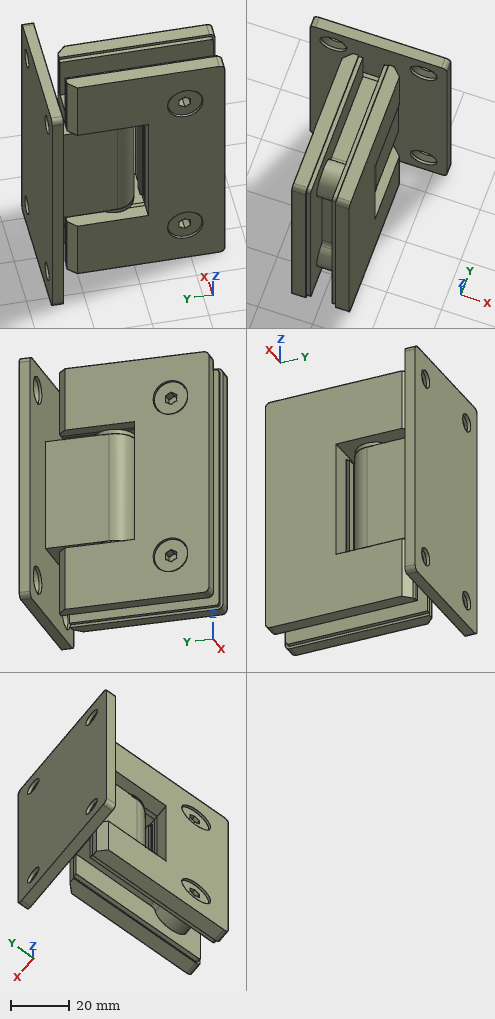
import cadquery as cq
import math


plate_width = 50.0
plate_height = 90.0
plate_thickness = 4.0
corner_radius = 2.0
mount_hole_spacing_x = 33.0
mount_hole_spacing_z = 71.0
mount_hole_diameter = 6.5
countersink_diameter = 9.7
countersink_depth = 1.7
countersink_lip = 1.0

barrel_width = 14.6
barrel_height = 40.0
barrel_axis_y = -26.8
barrel_radius = barrel_width / 2

pin_diameter = 5.0
pin_length = 52.0
collar_diameter = 14.3
collar_thickness = 1.6

clamp_width = 21.0
clamp_thickness = 5.0
clamp_back_y = -9.0
clamp_front_y = -64.0
clamp_chamfer = 3.0
clamp_inner_x = clamp_width / 2 - clamp_thickness
notch_floor_y = -37.0
notch_height = 44.0

gasket_thickness = 1.5
gasket_inset = 1.0
gasket_inner_x = clamp_inner_x - gasket_thickness

boss_front_y = -51.0
boss_height = 56.5
ear_radius = 6.75
ear_fillet = 2.0
screw_axis_y = -50.0
screw_axis_z = 29.4

rib_projection = 1.0
rib_width = 3.6
rib_foot_projection = 0.4
rib_foot_width = 5.4

head_diameter = 12.1
head_clearance_diameter = 12.4
head_thickness = 2.7
shank_diameter = 6.0
shank_length = 12.6
socket_width = 4.0
socket_depth = 4.0
head_recess = 0.8
head_face_x = head_recess - clamp_width / 2

mount_hole_positions = [
    (x_side * mount_hole_spacing_x / 2, z_side * mount_hole_spacing_z / 2)
    for x_side in (-1, 1)
    for z_side in (-1, 1)
]
screw_positions = [(screw_axis_y, side * screw_axis_z) for side in (-1, 1)]


def slab(y_near, y_far, height, x_start, x_end):
    """Box between two Y values and two X values, centred on Z = 0."""
    return (
        cq.Workplane("YZ", origin=(x_start, 0, 0))
        .center((y_near + y_far) / 2, 0)
        .rect(abs(y_far - y_near), height)
        .extrude(x_end - x_start)
    )


def rods_along_x(diameter, x_start, x_end):
    """Cylinders on the screw axes between two X values."""
    return (
        cq.Workplane("YZ", origin=(x_start, 0, 0))
        .pushPoints(screw_positions)
        .circle(diameter / 2)
        .extrude(x_end - x_start)
    )


def rod_along_z(diameter, length):
    """Cylinder on the barrel axis, centred on Z = 0."""
    return (
        cq.Workplane("XY", origin=(0, barrel_axis_y, -length / 2))
        .circle(diameter / 2)
        .extrude(length)
    )


def countersunk_hole(x, z):
    """Cutter for one mounting hole: a short straight lip, a cone and a through hole."""
    hole_radius = mount_hole_diameter / 2
    rim_radius = countersink_diameter / 2
    cone_rim_y = countersink_lip - plate_thickness
    cone_tip_y = cone_rim_y + countersink_depth
    half_section = [
        (0, -plate_thickness),
        (rim_radius, -plate_thickness),
        (rim_radius, cone_rim_y),
        (hole_radius, cone_tip_y),
        (hole_radius, 0),
        (0, 0),
    ]
    cutter = cq.Workplane("XY").polyline(half_section).close().revolve(360, (0, 0), (0, 1))
    return cutter.translate((x, 0, z))


def make_mount():
    """Mounting plate with countersunk holes, and the barrel block that carries the pin."""
    plate = (
        cq.Workplane("XZ")
        .rect(plate_width, plate_height)
        .extrude(plate_thickness)
        .edges("|Y")
        .fillet(corner_radius)
    )
    for x, z in mount_hole_positions:
        plate = plate.cut(countersunk_hole(x, z))
    web = slab(barrel_axis_y, -plate_thickness, barrel_height, -barrel_radius, barrel_radius)
    barrel = rod_along_z(barrel_width, barrel_height)
    bore = rod_along_z(pin_diameter, barrel_height)
    return plate.union(web).union(barrel).cut(bore)


def make_pin():
    """Pin with a collar at each end of the barrel."""
    pin = rod_along_z(pin_diameter, pin_length)
    collars = rod_along_z(collar_diameter, barrel_height + 2 * collar_thickness).cut(
        rod_along_z(collar_diameter, barrel_height)
    )
    return pin.union(collars)


def make_leaf(x_start, x_end, inset, radius):
    """Flat sheet of the clamp outline: rounded front corners and a notch around the barrel."""
    sheet = slab(clamp_front_y + inset, clamp_back_y, plate_height - 2 * inset, x_start, x_end)
    sheet = sheet.edges("|X and <Y").fillet(radius)
    notch = slab(notch_floor_y, clamp_back_y, notch_height, x_start, x_end)
    return sheet.cut(notch)


def make_clamp_plate():
    """Clamp plate on the -X side, chamfered along its outer back edges."""
    plate = make_leaf(-clamp_width / 2, -clamp_inner_x, 0, corner_radius)
    return plate.faces("<X").edges(">Y").chamfer(clamp_chamfer)


def make_gasket():
    """Gasket sheet on the -X side."""
    return make_leaf(-clamp_inner_x, -gasket_inner_x, gasket_inset, corner_radius - gasket_inset)


def make_boss():
    """Boss from the -X gasket to the +X clamp plate, with two ears, pin holes and the stop rib."""
    body = slab(boss_front_y, clamp_back_y, boss_height, -gasket_inner_x, clamp_inner_x)
    ear_diameter = 2 * ear_radius
    ears = rods_along_x(ear_diameter, -gasket_inner_x, clamp_inner_x)
    around_ears = cq.selectors.BoxSelector(
        (-clamp_width, screw_axis_y - ear_diameter, -plate_height),
        (clamp_width, screw_axis_y + ear_diameter, plate_height),
    )
    eared_body = body.union(ears).edges("|X").edges(around_ears).fillet(ear_fillet)
    notch = slab(notch_floor_y, clamp_back_y, notch_height, -gasket_inner_x, clamp_inner_x)
    rib = slab(notch_floor_y, notch_floor_y + rib_projection, barrel_height, -rib_width / 2, rib_width / 2)
    foot_top_y = notch_floor_y + rib_foot_projection
    foot = slab(notch_floor_y, foot_top_y, barrel_height, -rib_foot_width / 2, rib_foot_width / 2)
    return eared_body.cut(notch).union(rib).union(foot).cut(rod_along_z(pin_diameter, pin_length))


def make_screw(y, z):
    """Screw with a sunk flat head and a hexagon socket, pointing toward +X."""
    face = cq.Workplane("YZ", origin=(head_face_x, y, z))
    head = face.circle(head_diameter / 2).extrude(head_thickness)
    shank = face.circle(shank_diameter / 2).extrude(shank_length)
    socket_corners = socket_width / math.cos(math.pi / 6)
    socket = face.transformed(rotate=(0, 0, 90)).polygon(6, socket_corners).extrude(socket_depth)
    return head.union(shank).cut(socket)


head_seats = rods_along_x(head_clearance_diameter, -clamp_width / 2, head_face_x + head_thickness)
shank_holes = rods_along_x(shank_diameter, -clamp_width / 2, head_face_x + shank_length)
mount = make_mount()
pin = make_pin()
near_clamp = make_clamp_plate().cut(head_seats).cut(shank_holes)
near_gasket = make_gasket().cut(shank_holes)
boss = make_boss()
far_clamp = make_clamp_plate().mirror("YZ").union(boss).cut(shank_holes)
far_gasket = make_gasket().mirror("YZ").cut(boss).cut(shank_holes)
screws = [make_screw(y, z) for y, z in screw_positions]

result = cq.Compound.makeCompound(
    [
        mount.val(),
        pin.val(),
        near_clamp.val(),
        near_gasket.val(),
        far_clamp.val(),
        far_gasket.val(),
        *[screw.val() for screw in screws],
    ]
)